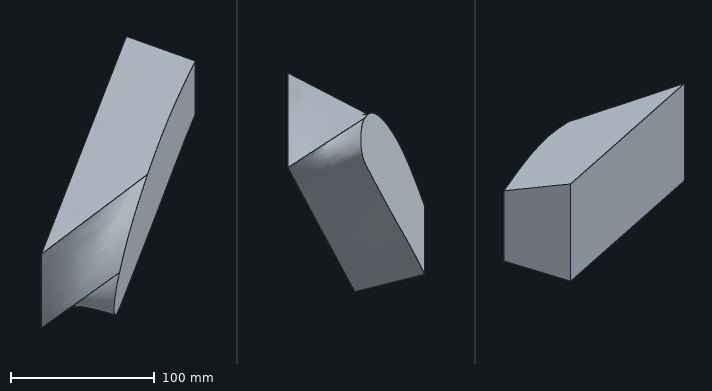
import cadquery as cq

length = 226.0
height = 72.0
width = 50.0

floor_z = 8.8
tail_bottom = (length, floor_z)
tail_top = (length, 60.8)
crown_points = [(189.8, 67.5), (140.1, height), (122.0, 71.6)]
brow = (98.8, 69.8)
forehead_points = [(67.8, 63.7), (38.5, 52.9)]
nose_top = (24.9, 43.8)
nose_points = [(11.5, 28.2), (10.5, 20.0), (13.5, 12.9), (21.5, 9.5)]
floor_points = [(31.6, floor_z), (124.3, floor_z)]

rear_top = (length, height)
front_top = (0.0, height)
front_bottom = (0.0, 0.0)
rear_bottom = (length, 0.0)


def point_at(x, yz):
    return cq.Vector(x, *yz)


def rectangle_edge(start, end):
    return cq.Edge.makeLine(point_at(0, start), point_at(0, end))


def profile_curve(points):
    return cq.Edge.makeSpline([point_at(width, yz) for yz in points])


rectangle_edges = [
    rectangle_edge(rear_top, front_top),
    rectangle_edge(front_top, front_bottom),
    rectangle_edge(front_bottom, rear_bottom),
    rectangle_edge(rear_bottom, rear_top),
]

profile_edges = [
    profile_curve([tail_top, *crown_points, brow]),
    profile_curve([brow, *forehead_points, nose_top]),
    profile_curve([nose_top, *nose_points, *floor_points, tail_bottom]),
    cq.Edge.makeLine(point_at(width, tail_bottom), point_at(width, tail_top)),
]

sides = [cq.Face.makeRuledSurface(a, b) for a, b in zip(rectangle_edges, profile_edges)]
ends = [
    cq.Face.makeFromWires(cq.Wire.assembleEdges(edges))
    for edges in (rectangle_edges, profile_edges)
]
shell = cq.Shell.makeShell(sides + ends)
result = cq.Workplane(obj=cq.Solid.makeSolid(shell).fix())